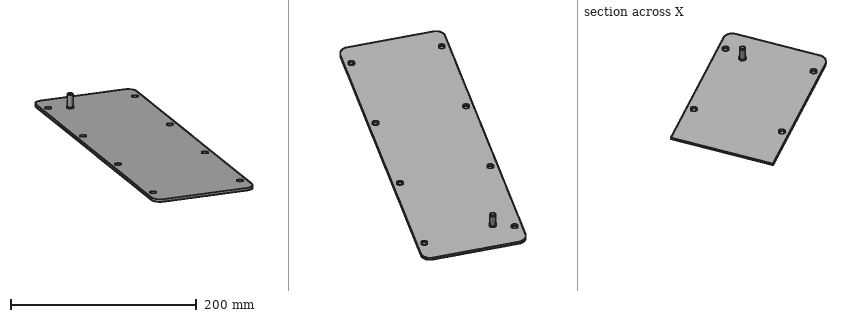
import cadquery as cq

plate_length = 348.0
plate_width = 117.0
plate_thickness = 3.0
corner_radius = 10.0

hole_diameter = 7.0
holes_per_row = 4
hole_pitch = 99.2
row_spacing = 101.0

overall_height = 19.0
stud_x = -141.0
stud_y = -28.2
stud_diameter = 6.3
stud_tip_chamfer = 1.0
flange_diameter = 7.5
flange_height = 1.0


def make_plate():
    """Rounded rectangular plate with both rows of holes."""
    return (
        cq.Workplane("XY")
        .rect(plate_length, plate_width)
        .extrude(plate_thickness)
        .edges("|Z")
        .fillet(corner_radius)
        .faces(">Z")
        .workplane(origin=(0, 0, plate_thickness))
        .rarray(hole_pitch, row_spacing, holes_per_row, 2)
        .hole(hole_diameter)
    )


def make_stud():
    """Chamfered stud with a flange at its foot, starting at the plate's underside."""
    shank = (
        cq.Workplane("XY")
        .center(stud_x, stud_y)
        .circle(stud_diameter / 2)
        .extrude(overall_height)
        .faces(">Z")
        .chamfer(stud_tip_chamfer)
    )
    flange = (
        cq.Workplane("XY")
        .center(stud_x, stud_y)
        .circle(flange_diameter / 2)
        .extrude(plate_thickness + flange_height)
    )
    return shank.union(flange)


result = make_plate().union(make_stud())